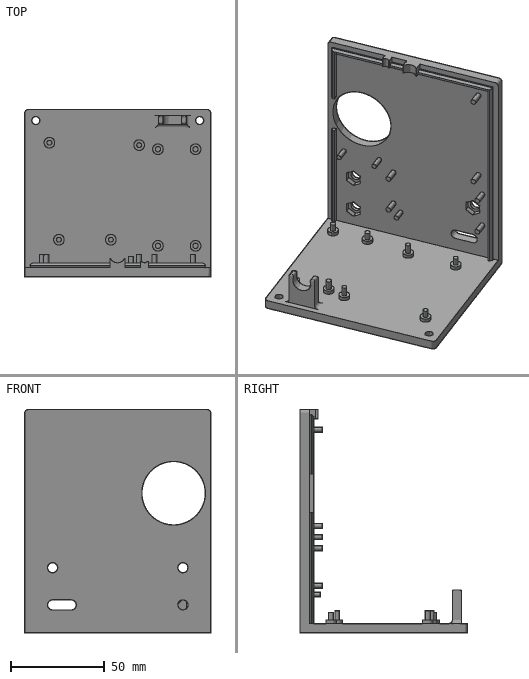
import cadquery as cq
import math

WIDTH = 100.0
DEPTH = 90.0
HEIGHT = 120.0
PLATE = 5.0
CORNER_RADIUS = 2.0

WINDOW_DIAMETER = 34.0
WINDOW_CENTRE = (80.0, 75.0)
BOLT_DIAMETER = 5.3
BOLT_CENTRES = [(15.0, 35.0), (85.0, 35.0), (85.0, 15.0)]
NUT_ACROSS_FLATS = 8.0
NUT_DEPTH = 3.0
HEXAGON_HALF_ANGLE = 30.0
SLOT_CENTRE = (20.0, 15.0)
SLOT_LENGTH = 10.0 + BOLT_DIAMETER

SCREW_DIAMETER = 4.2
SCREW_INSET = 6.0

RIM_INSET = 3.1
RIM_INNER_INSET = 5.0
RIM_HEIGHT = 2.5
LIP_START = 0.9
LIP_OVERHANG = 0.3
LEAD_IN_WIDTH = 1.3
LEAD_IN_HEIGHT = 1.1
RIM_GAP = 20.8

REST_LENGTH = 5.0
CABLE_RESTS = [
    (45.9, 53.8, 4.8, 4.3, 2.2),
    (62.3, 66.5, 3.4, 2.0, 0.8),
]

COLLAR_DIAMETER = 5.7
COLLAR_HEIGHT = 2.0
SHORT_PIN = 6.0
TALL_PIN = 7.0
SMALL_PIN_DIAMETER = 2.6
LARGE_PIN_DIAMETER = 2.84
CONTROLLER_PEGS = [
    (13.3, 72.1, SHORT_PIN),
    (61.5, 70.8, TALL_PIN),
    (18.4, 20.0, SHORT_PIN),
    (46.3, 20.0, TALL_PIN),
]
RELAY_PEGS = [
    (71.6, 68.6, TALL_PIN),
    (91.8, 68.6, TALL_PIN),
    (71.6, 16.7, SHORT_PIN),
    (91.8, 16.7, SHORT_PIN),
]

WALL_PINS = [
    (9.3, 25.3, LARGE_PIN_DIAMETER, TALL_PIN),
    (9.3, 45.4, LARGE_PIN_DIAMETER, TALL_PIN),
    (61.4, 25.3, LARGE_PIN_DIAMETER, TALL_PIN),
    (61.4, 45.4, LARGE_PIN_DIAMETER, TALL_PIN),
    (11.6, 57.4, LARGE_PIN_DIAMETER, TALL_PIN),
    (11.6, 109.1, LARGE_PIN_DIAMETER, TALL_PIN),
    (69.7, 51.4, SMALL_PIN_DIAMETER, TALL_PIN),
    (90.4, 51.4, SMALL_PIN_DIAMETER, TALL_PIN),
    (57.2, 20.6, SMALL_PIN_DIAMETER, SHORT_PIN),
]

CLIP_CENTRE_X = 79.45
CLIP_WIDTH = 15.1
CLIP_FRONT_Y = 81.85
CLIP_THICKNESS = 4.95
CLIP_HEIGHT = 18.1
CLIP_BOWL_RADIUS = 5.2
CLIP_BOWL_CENTRE_Z = 20.0
CLIP_MOUTH_WIDTH = 9.8
CLIP_TIP_RADIUS = 1.0
CLIP_FOOT_RADIUS = 2.0


def box(x0, x1, y0, y1, z0, z1):
    """Axis-aligned box between two corners."""
    return cq.Workplane("XY").box(x1 - x0, y1 - y0, z1 - z0, centered=False).translate((x0, y0, z0))


def rod_along_y(x, z, diameter, y0, y1):
    """Round rod parallel to Y."""
    return cq.Workplane("XZ", origin=(x, y0, z)).circle(diameter / 2).extrude(y0 - y1)


def rod_along_z(x, y, diameter, z0, z1):
    """Round rod parallel to Z."""
    return cq.Workplane("XY", origin=(x, y, z0)).circle(diameter / 2).extrude(z1 - z0)


def make_plates():
    """Wall and base joined in an L, with rounded free corners."""
    wall = box(0, WIDTH, 0, PLATE, 0, HEIGHT).edges("|Y and >Z").fillet(CORNER_RADIUS)
    base = box(0, WIDTH, 0, DEPTH, 0, PLATE).edges("|Z and >Y").fillet(CORNER_RADIUS)
    return wall.union(base)


def make_rim():
    """Three-sided snap rim that follows the sides and the top of the wall."""
    lip_inset = RIM_INSET - LIP_OVERHANG
    foot = box(RIM_INSET, WIDTH - RIM_INSET, PLATE, PLATE + LIP_START, 0, HEIGHT - RIM_INSET)
    lip = box(lip_inset, WIDTH - lip_inset, PLATE + LIP_START, PLATE + RIM_HEIGHT, 0, HEIGHT - lip_inset)
    lip = lip.faces(">Y").chamfer(LEAD_IN_HEIGHT, LEAD_IN_WIDTH)
    inside = box(
        RIM_INNER_INSET, WIDTH - RIM_INNER_INSET, PLATE, PLATE + RIM_HEIGHT, 0, HEIGHT - RIM_INNER_INSET
    )
    gap_middle = WINDOW_CENTRE[1]
    gap = box(
        WINDOW_CENTRE[0],
        WIDTH,
        PLATE,
        PLATE + RIM_HEIGHT,
        gap_middle - RIM_GAP / 2,
        gap_middle + RIM_GAP / 2,
    )
    return foot.union(lip).cut(inside).cut(gap)


def make_cable_rest(x0, x1, height, groove_radius, groove_depth):
    """Block at the top of the wall with a round groove along Z in its back."""
    back = PLATE + height
    bottom = HEIGHT - REST_LENGTH
    block = box(x0, x1, PLATE, back, bottom, HEIGHT)
    groove_y = back - groove_depth + groove_radius
    return block.cut(rod_along_z((x0 + x1) / 2, groove_y, 2 * groove_radius, bottom, HEIGHT))


def make_peg(x, y, height, pin_diameter):
    """Collar and locating pin on the base."""
    collar = rod_along_z(x, y, COLLAR_DIAMETER, PLATE, PLATE + COLLAR_HEIGHT)
    return collar.union(rod_along_z(x, y, pin_diameter, PLATE, PLATE + height))


def make_clip():
    """Clip block with a round bowl, rounded tips and a flared foot."""
    x0 = CLIP_CENTRE_X - CLIP_WIDTH / 2
    x1 = CLIP_CENTRE_X + CLIP_WIDTH / 2
    y0 = CLIP_FRONT_Y
    y1 = y0 + CLIP_THICKNESS
    top = PLATE + CLIP_HEIGHT
    half_mouth = CLIP_MOUTH_WIDTH / 2
    body = box(x0, x1, y0, y1, PLATE, top)
    mouth = box(CLIP_CENTRE_X - half_mouth, CLIP_CENTRE_X + half_mouth, y0, y1, CLIP_BOWL_CENTRE_Z, top)
    body = body.cut(mouth).faces(">Z").edges().fillet(CLIP_TIP_RADIUS)
    body = body.cut(rod_along_y(CLIP_CENTRE_X, CLIP_BOWL_CENTRE_Z, 2 * CLIP_BOWL_RADIUS, y0, y1))
    return body.union(make_clip_foot(x0, x1, y0, y1))


def make_clip_foot(x0, x1, y0, y1):
    """Concave flare around the front and both sides of the clip's foot, mitred at the corners."""
    r = CLIP_FOOT_RADIUS
    crest = PLATE + r
    across_x = (
        cq.Workplane("XZ", origin=(0, y0 - r, 0))
        .moveTo(x0 - r, PLATE)
        .radiusArc((x0, crest), -r)
        .lineTo(x1, crest)
        .radiusArc((x1 + r, PLATE), -r)
        .close()
        .extrude(-(y1 - y0 + r))
    )
    along_y = (
        cq.Workplane("YZ", origin=(x0 - r, 0, 0))
        .moveTo(y0 - r, PLATE)
        .radiusArc((y0, crest), -r)
        .lineTo(y1, crest)
        .lineTo(y1, PLATE)
        .close()
        .extrude(x1 - x0 + 2 * r)
    )
    return across_x.intersect(along_y)


def make_nut_pocket(x, z):
    """Hexagonal pocket in the back of the wall, with flats on its two sides."""
    across_corners = NUT_ACROSS_FLATS / math.cos(math.radians(HEXAGON_HALF_ANGLE))
    pocket = cq.Workplane("XZ", origin=(x, PLATE - NUT_DEPTH, z))
    pocket = pocket.polygon(6, across_corners).extrude(-NUT_DEPTH)
    return pocket.rotate((x, 0, z), (x, PLATE, z), HEXAGON_HALF_ANGLE)


def cut_openings(part):
    """Window, bolt holes and slot in the wall, and screw holes in the base."""
    part = part.cut(rod_along_y(*WINDOW_CENTRE, WINDOW_DIAMETER, 0, PLATE))
    for x, z in BOLT_CENTRES:
        part = part.cut(rod_along_y(x, z, BOLT_DIAMETER, 0, PLATE)).cut(make_nut_pocket(x, z))
    slot = cq.Workplane("XZ", origin=(SLOT_CENTRE[0], 0, SLOT_CENTRE[1]))
    part = part.cut(slot.slot2D(SLOT_LENGTH, BOLT_DIAMETER).extrude(-PLATE))
    for x in (SCREW_INSET, WIDTH - SCREW_INSET):
        part = part.cut(rod_along_z(x, DEPTH - SCREW_INSET, SCREW_DIAMETER, 0, PLATE))
    return part


result = make_plates().union(make_rim())
for rest in CABLE_RESTS:
    result = result.union(make_cable_rest(*rest))
result = cut_openings(result)
for x, y, height in CONTROLLER_PEGS:
    result = result.union(make_peg(x, y, height, SMALL_PIN_DIAMETER))
for x, y, height in RELAY_PEGS:
    result = result.union(make_peg(x, y, height, LARGE_PIN_DIAMETER))
for x, z, diameter, height in WALL_PINS:
    result = result.union(rod_along_y(x, z, diameter, PLATE, PLATE + height))
result = result.union(make_clip())